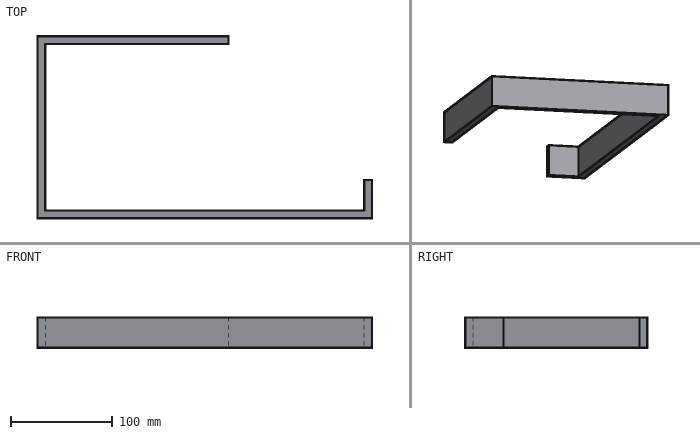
import cadquery as cq

length = 331.0
width = 180.0
height = 30.0

wall = 8.0
back_arm_length = 189.0
lip_length = 38.0

outline = [
    (0, 0),
    (length, 0),
    (length, lip_length),
    (length - wall, lip_length),
    (length - wall, wall),
    (wall, wall),
    (wall, width - wall),
    (back_arm_length, width - wall),
    (back_arm_length, width),
    (0, width),
]

result = cq.Workplane("XY").polyline(outline).close().extrude(height)